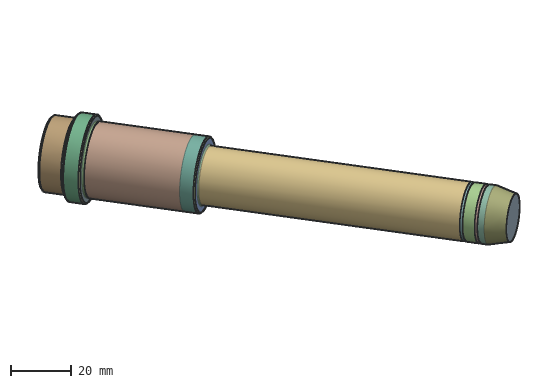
import cadquery as cq

length = 160.0
head_diameter = 26.0
collar_diameter = 30.0
shaft_diameter = 20.0

head_length = 54.0
rear_chamfer = 0.6
front_chamfer = 0.5
lead_length = 5.3
shaft_fillet = 0.5

collar_start = 9.0
collar_end = 15.0
collar_chamfer = 0.5

groove_width = 1.0
groove_depth = 0.5
shaft_groove_starts = (144.5, 149.6)

tip_length = 7.2
tip_diameter = 16.3

head_radius = head_diameter / 2
collar_radius = collar_diameter / 2
shaft_radius = shaft_diameter / 2
tip_radius = tip_diameter / 2


def add_groove(profile, start, radius):
    """Continue a profile that has reached the start with a rounded groove."""
    bottom = (start + groove_width / 2, radius - groove_depth)
    return profile.threePointArc(bottom, (start + groove_width, radius))


profile = (
    cq.Workplane("XY")
    .moveTo(0, 0)
    .lineTo(0, head_radius - rear_chamfer)
    .lineTo(rear_chamfer, head_radius)
    .lineTo(collar_start - groove_width, head_radius)
)
profile = add_groove(profile, collar_start - groove_width, head_radius)

profile = (
    profile
    .lineTo(collar_start, collar_radius - collar_chamfer)
    .lineTo(collar_start + collar_chamfer, collar_radius)
    .lineTo(collar_end - collar_chamfer, collar_radius)
    .lineTo(collar_end, collar_radius - collar_chamfer)
    .lineTo(collar_end, head_radius)
)

profile = add_groove(profile, collar_end, head_radius)
fillet_reach = shaft_fillet * (1 - 0.5 ** 0.5)
profile = (
    profile
    .lineTo(head_length - lead_length, head_radius)
    .lineTo(head_length - front_chamfer, head_radius)
    .lineTo(head_length, head_radius - front_chamfer)
    .lineTo(head_length, shaft_radius + shaft_fillet)
    .threePointArc(
        (head_length + fillet_reach, shaft_radius + fillet_reach),
        (head_length + shaft_fillet, shaft_radius),
    )
)

for groove_start in shaft_groove_starts:
    profile = profile.lineTo(groove_start, shaft_radius)
    profile = add_groove(profile, groove_start, shaft_radius)

profile = (
    profile
    .lineTo(length - tip_length, shaft_radius)
    .lineTo(length, tip_radius)
    .lineTo(length, 0)
    .close()
)

result = profile.revolve(360, (0, 0, 0), (1, 0, 0), clean=False)